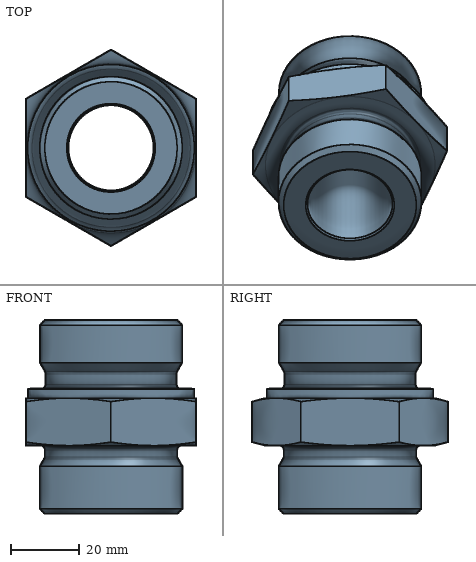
import cadquery as cq
import math

total_height = 57.0
bore_radius = 25.0 / 2
bore_chamfer = 0.5
end_chamfer = 1.5
runout_angle = math.radians(30)

hex_corner_diameter = 57.75
hex_flat_radius = hex_corner_diameter / 2 * math.cos(math.pi / 6)
hex_bottom = 20.05
hex_top = 34.0
hex_chamfer_angle = math.radians(15)
hex_chamfer_inset = 0.05

lower_radius = 42.0 / 2
lower_neck_radius = 39.0 / 2
lower_thread_top = 13.9
lower_blend_radius = 1.15
lower_fillet = 1.2

upper_radius = 41.9 / 2
upper_neck_radius = 38.6 / 2
upper_thread_bottom = 44.45
upper_blend_radius = 1.5
upper_fillet = 1.5

collar_radius = 49.0 / 2
collar_side_top = 36.65
collar_rim_radius = 23.25
collar_rim_height = 36.9
collar_dish_height = 36.6


def runout_blend(thread_radius, neck_radius, blend_radius):
    """Axial offsets from the thread edge, and radii, of the blend's start, middle and end."""
    def blend_point(angle):
        return neck_radius + blend_radius * (1 - math.cos(angle)), blend_radius * math.sin(angle)

    start_radius, start_rise = blend_point(runout_angle)
    middle_radius, middle_rise = blend_point(runout_angle / 2)
    cone_length = (thread_radius - start_radius) / math.tan(runout_angle)
    end = cone_length + start_rise
    return (start_radius, cone_length), (middle_radius, end - middle_rise), (neck_radius, end)


def fillet_middle(neck_radius, face_height, radius, direction):
    """Middle of a quarter-round fillet; direction is +1 for a neck above the face, -1 below."""
    inset = radius * (1 - math.sqrt(0.5))
    return neck_radius + inset, face_height + direction * inset


def turned_body():
    """Revolved threaded ends, necks and collar, solid through the hexagon."""
    lower = [(r, lower_thread_top + h)
             for r, h in runout_blend(lower_radius, lower_neck_radius, lower_blend_radius)]
    upper = [(r, upper_thread_bottom - h)
             for r, h in runout_blend(upper_radius, upper_neck_radius, upper_blend_radius)]
    profile = (
        cq.Workplane("XZ")
        .lineTo(lower_radius - end_chamfer, 0)
        .lineTo(lower_radius, end_chamfer)
        .lineTo(lower_radius, lower_thread_top)
        .lineTo(*lower[0])
        .threePointArc(lower[1], lower[2])
        .lineTo(lower_neck_radius, hex_bottom - lower_fillet)
        .threePointArc(fillet_middle(lower_neck_radius, hex_bottom, lower_fillet, -1),
                       (lower_neck_radius + lower_fillet, hex_bottom))
        .lineTo(collar_radius, hex_bottom)
        .lineTo(collar_radius, collar_side_top)
        .lineTo(collar_rim_radius, collar_rim_height)
        .lineTo(upper_neck_radius + upper_fillet, collar_dish_height)
        .threePointArc(fillet_middle(upper_neck_radius, collar_dish_height, upper_fillet, 1),
                       (upper_neck_radius, collar_dish_height + upper_fillet))
        .lineTo(*upper[2])
        .threePointArc(upper[1], upper[0])
        .lineTo(upper_radius, upper_thread_bottom)
        .lineTo(upper_radius, total_height - end_chamfer)
        .lineTo(upper_radius - end_chamfer, total_height)
        .lineTo(0, total_height)
        .close()
    )
    return profile.revolve(360, (0, 0, 0), (0, 1, 0))


def hexagon():
    """Hexagon with corners on the Y axis, its corners chamfered by cones at both ends."""
    prism = (
        cq.Workplane("XY").workplane(offset=hex_bottom)
        .polygon(6, hex_corner_diameter)
        .extrude(hex_top - hex_bottom)
        .rotate((0, 0, 0), (0, 0, 1), 30)
    )
    chamfer_radius = hex_flat_radius - hex_chamfer_inset
    corner_radius = hex_corner_diameter / 2
    corner_drop = (corner_radius - chamfer_radius) * math.tan(hex_chamfer_angle)
    envelope = (
        cq.Workplane("XZ")
        .moveTo(0, hex_bottom)
        .lineTo(chamfer_radius, hex_bottom)
        .lineTo(corner_radius, hex_bottom + corner_drop)
        .lineTo(corner_radius, hex_top - corner_drop)
        .lineTo(chamfer_radius, hex_top)
        .lineTo(0, hex_top)
        .close()
        .revolve(360, (0, 0, 0), (0, 1, 0))
    )
    return prism.intersect(envelope)


def bore():
    """Through bore with a small chamfer at each mouth."""
    mouth_radius = bore_radius + bore_chamfer
    return (
        cq.Workplane("XZ")
        .lineTo(mouth_radius, 0)
        .lineTo(bore_radius, bore_chamfer)
        .lineTo(bore_radius, total_height - bore_chamfer)
        .lineTo(mouth_radius, total_height)
        .lineTo(0, total_height)
        .close()
        .revolve(360, (0, 0, 0), (0, 1, 0))
    )


result = turned_body().union(hexagon()).cut(bore())